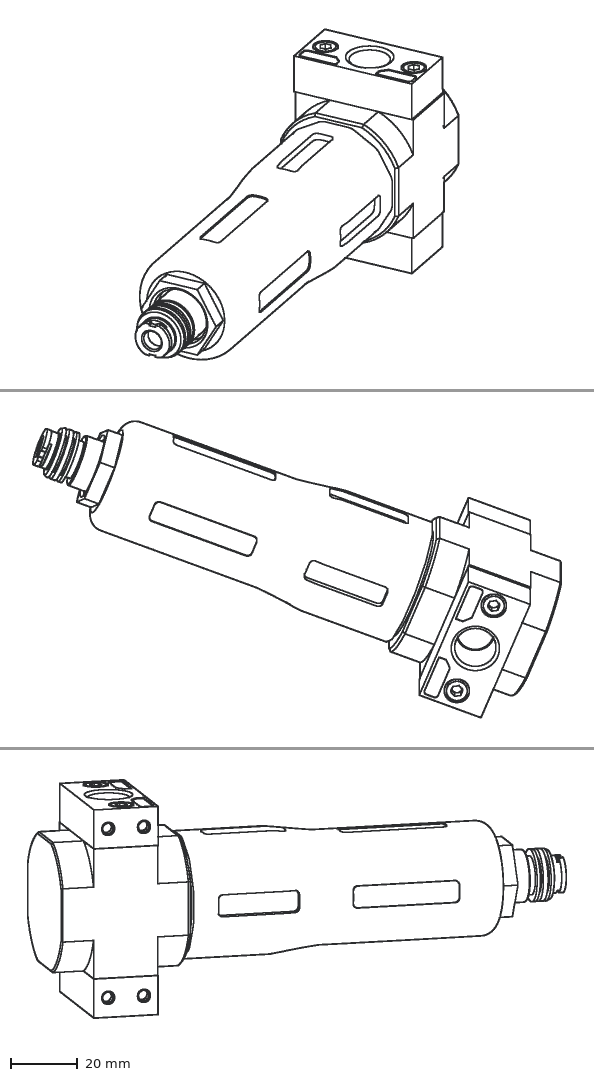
import cadquery as cq
import math


HOUSING_WIDTH = 40.0
HALF_WIDTH = HOUSING_WIDTH / 2
BLOCK_LENGTH = 20.0
HALF_BLOCK = BLOCK_LENGTH / 2
BARREL_RADIUS = 21.5
BARREL_BACK_Y = 20.0
BARREL_FRONT_Y = -20.3
BACK_CHAMFER = 0.5
FRONT_CHAMFER = 0.8
HOUSING_BORE_DIAMETER = 11.0

PLATE_HEIGHT = 12.0
PLATE_OFFSET_X = -0.5
PLATE_TOP_Z = HALF_WIDTH + PLATE_HEIGHT
PORT_DIAMETER = 12.4
PORT_INNER_DIAMETER = 11.6
PORT_MOUTH_DIAMETER = 14.5
PORT_MOUTH_DEPTH = 0.8

LABEL_DEPTH = 0.3
LABEL_MARGIN = 1.0
LABEL_WIDTH = 4.3
LABEL_INNER_X = 6.8
LABEL_SLANT = 2.1
LABEL_CORNER_RADIUS = 1.0

DRILL_MOUTH_DIAMETER = 4.0
DRILL_DIAMETER = 3.2
DRILL_DEPTH = 2.4
DRILL_TIP_DEPTH = 1.0
SIDE_HOLE_SPACING = 11.1
SIDE_HOLE_Z = 26.0

SCREW_X = 15.0
SCREW_DIAMETER = 7.5
SCREW_FACE_DIAMETER = 6.3
SCREW_CHAMFER_DEPTH = 0.5
SCREW_HEIGHT = 4.0
SOCKET_ACROSS_FLATS = 3.2
SOCKET_DEPTH = 2.4

GRIP_SIDES = 12
GRIP_ACROSS_FLATS = 37.7
GRIP_RADIUS = 19.3
GRIP_BACK_Y = -21.4
TAPER_BACK_Y = -49.0
TUBE_BACK_Y = -64.1
TUBE_RADIUS = 17.4
GUARD_FRONT_Y = -119.2
GUARD_ROUND = 4.5
GUARD_OPENING_DIAMETER = 26.4
GRIP_WINDOW_Y = (-29.1, -54.5)
TUBE_WINDOW_Y = (-71.5, -104.5)
WINDOW_WIDTH = 6.8
WINDOW_CORNER_RADIUS = 1.5

BOWL_RADIUS = 16.9
HEX_ACROSS_FLATS = 22.0
HEX_FRONT_Y = -123.8
DRAIN_RECESS_DIAMETER = 18.0
DRAIN_RECESS_MOUTH_DIAMETER = 19.8
DRAIN_RECESS_DEPTH = 4.0

DRAIN_DIAMETER = 16.0
DRAIN_LAST_RIDGE_DIAMETER = 15.0
DRAIN_NECK_DIAMETER = 11.8
DRAIN_NOSE_DIAMETER = 11.5
TIP_FLANGE_DIAMETER = 11.6
SHANK_CHAMFER = 0.3
DRAIN_TIP_Y = -141.0
DRAIN_SHANK_FRONT_Y = -129.0
RIDGE_1_Y = (-131.0, -132.0)
RIDGE_2_Y = (-133.0, -134.5)
RIDGE_3_Y = (-135.4, -136.5)
NOSE_BACK_Y = -137.0
TIP_FLANGE_BACK_Y = -139.3
TIP_FLANGE_FRONT_Y = -140.7
LOCK_SLOT_BACK_Y = -138.5
LOCK_SLOT_Z = 4.3
FLANGE_FLAT_Z = 5.3
FLANGE_NOTCH_WIDTH = 2.1
FLANGE_NOTCH_Z = 4.8
DRAIN_HOLE_DIAMETER = 6.0
DRAIN_HOLE_MOUTH_DIAMETER = 7.0
DRAIN_HOLE_DEPTH = 3.2


def cylinder_y(radius, back_y, front_y):
    """Cylinder on the Y axis between two Y positions."""
    return cq.Workplane("XZ", origin=(0, back_y, 0)).circle(radius).extrude(back_y - front_y)


def prism_y(sides, across_flats, back_y, front_y, turn=0):
    """Regular prism on the Y axis, turned about it by an angle in degrees."""
    corner_diameter = across_flats / math.cos(math.pi / sides)
    prism = cq.Workplane("XZ", origin=(0, back_y, 0)).polygon(sides, corner_diameter)
    return prism.extrude(back_y - front_y).rotate((0, 0, 0), (0, 1, 0), turn)


def revolve_y(points):
    """Solid of revolution about the Y axis from (radius, y) points."""
    return cq.Workplane("XY").polyline(points).close().revolve(360, (0, 0, 0), (0, 1, 0))


def cone_y(back_radius, front_radius, back_y, front_y):
    """Truncated cone on the Y axis."""
    return revolve_y([(0, back_y), (back_radius, back_y), (front_radius, front_y), (0, front_y)])


def cone_z(lower_diameter, upper_diameter, lower_z, upper_z):
    """Truncated cone on the Z axis."""
    base = cq.Vector(0, 0, lower_z)
    cone = cq.Solid.makeCone(lower_diameter / 2, upper_diameter / 2, upper_z - lower_z, base)
    return cq.Workplane(cone)


def side_hole(y):
    """Cutter for a blind hole with a chamfered mouth and a conical bottom in the plate's -X side."""
    mouth_radius = DRILL_MOUTH_DIAMETER / 2
    radius = DRILL_DIAMETER / 2
    profile = [
        (0, 0),
        (0, mouth_radius),
        (mouth_radius - radius, radius),
        (DRILL_DEPTH, radius),
        (DRILL_DEPTH + DRILL_TIP_DEPTH, 0),
    ]
    drill = cq.Workplane("XY").polyline(profile).close().revolve(360, (0, 0, 0), (1, 0, 0))
    return drill.translate((PLATE_OFFSET_X - HALF_WIDTH, y, SIDE_HOLE_Z))


def make_housing():
    barrel = cylinder_y(BARREL_RADIUS, BARREL_BACK_Y, BARREL_FRONT_Y)
    barrel_length = BARREL_BACK_Y - BARREL_FRONT_Y
    barrel_middle = (BARREL_BACK_Y + BARREL_FRONT_Y) / 2
    flats = cq.Workplane("XY").box(HOUSING_WIDTH, barrel_length, HOUSING_WIDTH)
    barrel = barrel.intersect(flats.translate((0, barrel_middle, 0)))
    barrel = barrel.faces(">Y").chamfer(BACK_CHAMFER)
    barrel = barrel.faces("<Y").chamfer(FRONT_CHAMFER)
    block = cq.Workplane("XY").box(HOUSING_WIDTH, BLOCK_LENGTH, HOUSING_WIDTH)
    bore = cq.Workplane("XY").circle(HOUSING_BORE_DIAMETER / 2).extrude(HALF_WIDTH, both=True)
    return barrel.union(block).cut(bore)


def label_recess(side):
    """Cutter for a label recess; side is -1 for the -X end of the plate and +1 for the +X end."""
    inner_x = side * LABEL_INNER_X
    outer_x = PLATE_OFFSET_X + side * (HALF_WIDTH - LABEL_MARGIN)
    front_y = LABEL_MARGIN - HALF_BLOCK
    back_y = front_y + LABEL_WIDTH
    outline = [
        (inner_x, front_y),
        (inner_x, back_y - LABEL_SLANT),
        (inner_x + side * LABEL_SLANT, back_y),
        (outer_x, back_y),
        (outer_x, front_y),
    ]
    recess = cq.Workplane("XY", origin=(0, 0, PLATE_TOP_Z - LABEL_DEPTH)).polyline(outline).close()
    recess = recess.extrude(LABEL_DEPTH)
    outer_edges = "|Z and <X" if side < 0 else "|Z and >X"
    return recess.edges(outer_edges).fillet(LABEL_CORNER_RADIUS)


def make_upper_plate():
    plate = cq.Workplane("XY").box(HOUSING_WIDTH, BLOCK_LENGTH, PLATE_HEIGHT)
    plate = plate.translate((PLATE_OFFSET_X, 0, HALF_WIDTH + PLATE_HEIGHT / 2))
    mouth_floor_z = PLATE_TOP_Z - PORT_MOUTH_DEPTH
    port = cone_z(PORT_INNER_DIAMETER, PORT_DIAMETER, HALF_WIDTH, mouth_floor_z)
    mouth = cone_z(PORT_DIAMETER, PORT_MOUTH_DIAMETER, mouth_floor_z, PLATE_TOP_Z)
    plate = plate.cut(port).cut(mouth)
    for side in (-1, 1):
        seat = cq.Workplane("XY", origin=(side * SCREW_X, 0, PLATE_TOP_Z - SCREW_HEIGHT))
        plate = plate.cut(seat.circle(SCREW_DIAMETER / 2).extrude(SCREW_HEIGHT))
        plate = plate.cut(label_recess(side))
        plate = plate.cut(side_hole(side * SIDE_HOLE_SPACING / 2))
    return plate


def make_upper_screw(x):
    screw = cq.Workplane("XY", origin=(x, 0, PLATE_TOP_Z - SCREW_HEIGHT))
    screw = screw.circle(SCREW_DIAMETER / 2).extrude(SCREW_HEIGHT)
    face_step = (SCREW_DIAMETER - SCREW_FACE_DIAMETER) / 2
    screw = screw.faces(">Z").chamfer(SCREW_CHAMFER_DEPTH, face_step)
    socket_floor_z = PLATE_TOP_Z - SOCKET_DEPTH
    socket_across_corners = SOCKET_ACROSS_FLATS / math.cos(math.pi / 6)
    socket = cq.Workplane("XY", origin=(x, 0, socket_floor_z)).polygon(6, socket_across_corners)
    tip = cone_z(0, SOCKET_ACROSS_FLATS, socket_floor_z - DRILL_TIP_DEPTH, socket_floor_z)
    return screw.cut(socket.extrude(SOCKET_DEPTH)).cut(tip.translate((x, 0, 0)))


def mirrored_below(upper_part):
    return upper_part.mirror("XY")


def window_cutter(back_y, front_y):
    """Round-cornered cutter through the guard wall on the +Z side."""
    length = back_y - front_y
    middle_y = (back_y + front_y) / 2
    cutter = cq.Workplane("XY").box(WINDOW_WIDTH, length, HALF_WIDTH, centered=(True, True, False))
    return cutter.edges("|Z").fillet(WINDOW_CORNER_RADIUS).translate((0, middle_y, 0))


def make_guard():
    grip = cylinder_y(GRIP_RADIUS, GRIP_BACK_Y, TAPER_BACK_Y)
    taper = cone_y(GRIP_RADIUS, TUBE_RADIUS, TAPER_BACK_Y, TUBE_BACK_Y)
    half_facet = 180 / GRIP_SIDES
    facets = prism_y(GRIP_SIDES, GRIP_ACROSS_FLATS, GRIP_BACK_Y, TUBE_BACK_Y, half_facet)
    tube = cylinder_y(TUBE_RADIUS, TUBE_BACK_Y, GUARD_FRONT_Y)
    tube = tube.faces("<Y").edges().fillet(GUARD_ROUND)
    guard = grip.union(taper).intersect(facets).union(tube)
    guard = guard.cut(make_bowl_core())
    for back_y, front_y in (GRIP_WINDOW_Y, TUBE_WINDOW_Y):
        cutter = window_cutter(back_y, front_y)
        for quarter in range(4):
            guard = guard.cut(cutter.rotate((0, 0, 0), (0, 1, 0), 90 * quarter).cut(make_bowl_core()))
    return guard


def make_bowl_core():
    """The round part of the bowl, which fills the guard and reaches back to the housing."""
    core = cylinder_y(BOWL_RADIUS, BARREL_FRONT_Y, GUARD_FRONT_Y + GUARD_ROUND)
    nose = cylinder_y(GUARD_OPENING_DIAMETER / 2, GUARD_FRONT_Y + GUARD_ROUND, GUARD_FRONT_Y)
    return core.union(nose)


def make_bowl():
    hexagon = prism_y(6, HEX_ACROSS_FLATS, GUARD_FRONT_Y, HEX_FRONT_Y)
    radius = DRAIN_RECESS_DIAMETER / 2
    mouth_radius = DRAIN_RECESS_MOUTH_DIAMETER / 2
    recess = cylinder_y(radius, HEX_FRONT_Y + DRAIN_RECESS_DEPTH, HEX_FRONT_Y)
    mouth = cone_y(radius, mouth_radius, HEX_FRONT_Y + mouth_radius - radius, HEX_FRONT_Y)
    return make_bowl_core().union(hexagon).cut(recess).cut(mouth)


def lock_cuts():
    """Cutter for the slot, flat and notch on the +Z and -Z sides of the drain tip."""
    reach = DRAIN_DIAMETER / 2
    cuts = cut_above(DRAIN_DIAMETER, LOCK_SLOT_BACK_Y, TIP_FLANGE_BACK_Y, LOCK_SLOT_Z, reach)
    cuts = cuts.union(cut_above(DRAIN_DIAMETER, TIP_FLANGE_BACK_Y, DRAIN_TIP_Y, FLANGE_FLAT_Z, reach))
    cuts = cuts.union(cut_above(FLANGE_NOTCH_WIDTH, TIP_FLANGE_BACK_Y, DRAIN_TIP_Y, FLANGE_NOTCH_Z, reach))
    return cuts.union(mirrored_below(cuts))


def cut_above(width, back_y, front_y, lower_z, upper_z):
    """Box centred on X = 0 between two Y positions and two Z heights."""
    box = cq.Workplane("XY").box(width, back_y - front_y, upper_z - lower_z)
    return box.translate((0, (back_y + front_y) / 2, (lower_z + upper_z) / 2))


def make_drain():
    shank_radius = DRAIN_DIAMETER / 2
    last_ridge_radius = DRAIN_LAST_RIDGE_DIAMETER / 2
    neck_radius = DRAIN_NECK_DIAMETER / 2
    flange_radius = TIP_FLANGE_DIAMETER / 2
    hole_radius = DRAIN_HOLE_DIAMETER / 2
    hole_mouth_radius = DRAIN_HOLE_MOUTH_DIAMETER / 2
    drain = cylinder_y(shank_radius, HEX_FRONT_Y + DRAIN_RECESS_DEPTH, DRAIN_SHANK_FRONT_Y)
    drain = drain.faces("<Y").chamfer(SHANK_CHAMFER)
    drain = drain.union(cylinder_y(neck_radius, DRAIN_SHANK_FRONT_Y, NOSE_BACK_Y))
    for back_y, front_y in (RIDGE_1_Y, RIDGE_2_Y):
        drain = drain.union(cylinder_y(shank_radius, back_y, front_y))
    drain = drain.union(cone_y(shank_radius, last_ridge_radius, *RIDGE_3_Y))
    drain = drain.union(cylinder_y(DRAIN_NOSE_DIAMETER / 2, NOSE_BACK_Y, TIP_FLANGE_BACK_Y))
    drain = drain.union(cylinder_y(flange_radius, TIP_FLANGE_BACK_Y, TIP_FLANGE_FRONT_Y))
    drain = drain.union(cone_y(flange_radius, hole_mouth_radius, TIP_FLANGE_FRONT_Y, DRAIN_TIP_Y))
    hole = cylinder_y(hole_radius, DRAIN_TIP_Y + DRAIN_HOLE_DEPTH, DRAIN_TIP_Y)
    mouth_depth = hole_mouth_radius - hole_radius
    mouth = cone_y(hole_radius, hole_mouth_radius, DRAIN_TIP_Y + mouth_depth, DRAIN_TIP_Y)
    return drain.cut(hole).cut(mouth).cut(lock_cuts())


housing = make_housing()
upper_plate = make_upper_plate()
lower_plate = mirrored_below(upper_plate)
screws = []
for screw_x in (-SCREW_X, SCREW_X):
    upper_screw = make_upper_screw(screw_x)
    screws.append(upper_screw.val())
    screws.append(mirrored_below(upper_screw).val())
guard = make_guard()
bowl = make_bowl()
drain = make_drain()

result = cq.Compound.makeCompound(
    [
        housing.val(),
        upper_plate.val(),
        lower_plate.val(),
        *screws,
        guard.val(),
        bowl.val(),
        drain.val(),
    ]
)